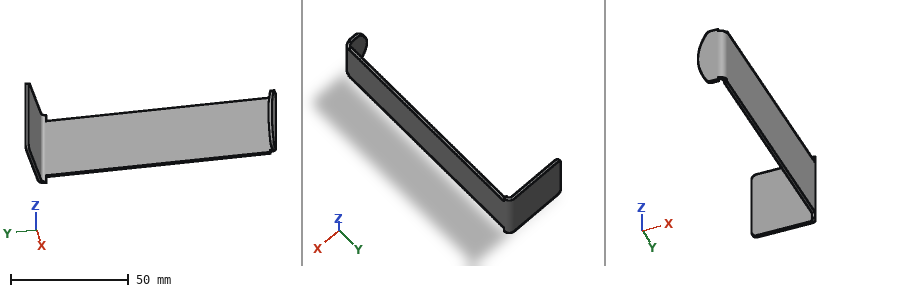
import cadquery as cq
import math

length = 103.2
depth = 30.0
plate_height = 33.0
thickness = 1.4
outer_bend_radius = 3.0
inner_bend_radius = outer_bend_radius - thickness

strip_height = 27.0
plate_corner_radius = 2.5
tab_depth = 12.2
tab_arc_radius = 22.0
tab_corner_radius = 2.5
back_shoulder_length = 0.2
front_bend_height = 25.2

inner_face = depth - thickness
bend_start = depth - outer_bend_radius


def make_bend(height):
    """Quarter-round bend joining the strip to the back plate."""
    diagonal = math.sqrt(0.5)
    center_y = length - outer_bend_radius
    return (
        cq.Workplane("XY", origin=(bend_start, center_y, -height / 2))
        .moveTo(0, outer_bend_radius)
        .threePointArc(
            (outer_bend_radius * diagonal, outer_bend_radius * diagonal),
            (outer_bend_radius, 0),
        )
        .lineTo(inner_bend_radius, 0)
        .threePointArc(
            (inner_bend_radius * diagonal, inner_bend_radius * diagonal),
            (0, inner_bend_radius),
        )
        .close()
        .extrude(height)
    )


def make_strip():
    """Long flat web between the two bends."""
    strip_length = length - 2 * outer_bend_radius
    return (
        cq.Workplane("XY")
        .box(thickness, strip_length, strip_height, centered=(False, False, True))
        .translate((inner_face, outer_bend_radius, 0))
    )


def make_back_shoulder():
    """Short full-height band where the strip meets the back bend."""
    shoulder_start = length - outer_bend_radius - back_shoulder_length
    return (
        cq.Workplane("XY")
        .box(thickness, back_shoulder_length, plate_height, centered=(False, False, True))
        .translate((inner_face, shoulder_start, 0))
    )


def make_back_plate():
    """Full-height plate with rounded free corners."""
    return (
        cq.Workplane("XY")
        .box(bend_start, thickness, plate_height, centered=(False, False, True))
        .translate((0, length - thickness, 0))
        .edges("|Y and <X")
        .fillet(plate_corner_radius)
    )


def make_front_tab():
    """Short tab with a bowed free edge blended into its level ends."""
    half_height = strip_height / 2
    bow_x = depth - tab_depth
    arc_end_x = bow_x + tab_arc_radius - math.sqrt(tab_arc_radius**2 - half_height**2)
    return (
        cq.Workplane("XZ")
        .moveTo(bend_start, -half_height)
        .lineTo(arc_end_x, -half_height)
        .threePointArc((bow_x, 0), (arc_end_x, half_height))
        .lineTo(bend_start, half_height)
        .close()
        .extrude(-thickness)
        .edges("|Y and (not >X)")
        .fillet(tab_corner_radius)
    )


back_bend = make_bend(plate_height)
front_bend = make_bend(front_bend_height).mirror("XZ").translate((0, length, 0))

result = (
    make_strip()
    .union(make_back_shoulder())
    .union(back_bend)
    .union(make_back_plate())
    .union(front_bend)
    .union(make_front_tab())
)